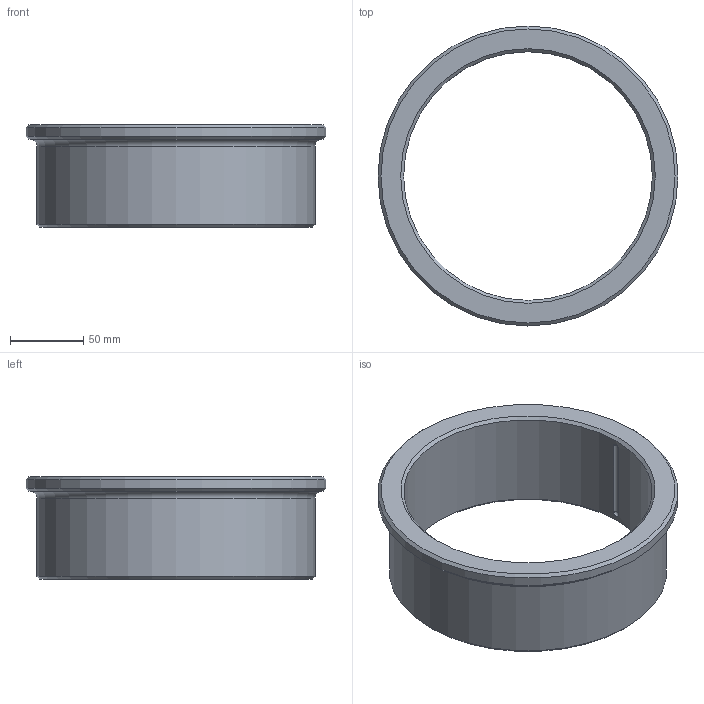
import cadquery as cq

total_height = 70.0
flange_diameter = 205.0
flange_thickness = 10.0
body_diameter = 190.0
bore_diameter = 170.0
edge_chamfer = 2.0
neck_fillet_radius = 4.5

groove_diameter = 4.5
groove_depth = 2.0
groove_length = 60.0

flange_radius = flange_diameter / 2
body_radius = body_diameter / 2
bore_radius = bore_diameter / 2
groove_radius = groove_diameter / 2
flange_underside = total_height - flange_thickness


def make_bushing():
    """Revolve the wall section, with every outer and bore edge chamfered."""
    fillet_start = (body_radius, flange_underside - neck_fillet_radius)
    fillet_end = (body_radius + neck_fillet_radius, flange_underside)
    section = (
        cq.Workplane("XZ")
        .moveTo(bore_radius + edge_chamfer, 0)
        .lineTo(body_radius - edge_chamfer, 0)
        .lineTo(body_radius, edge_chamfer)
        .lineTo(*fillet_start)
        .radiusArc(fillet_end, neck_fillet_radius)
        .lineTo(flange_radius - edge_chamfer, flange_underside)
        .lineTo(flange_radius, flange_underside + edge_chamfer)
        .lineTo(flange_radius, total_height - edge_chamfer)
        .lineTo(flange_radius - edge_chamfer, total_height)
        .lineTo(bore_radius + edge_chamfer, total_height)
        .lineTo(bore_radius, total_height - edge_chamfer)
        .lineTo(bore_radius, edge_chamfer)
        .close()
    )
    return section.revolve(360, (0, 0, 0), (0, 1, 0))


def make_groove_cutter():
    """Upright ball-ended rod set into the bore wall at mid-height."""
    straight_length = groove_length - groove_diameter
    half_outline = (
        cq.Workplane("XZ")
        .moveTo(0, -groove_length / 2)
        .radiusArc((groove_radius, -straight_length / 2), -groove_radius)
        .lineTo(groove_radius, straight_length / 2)
        .radiusArc((0, groove_length / 2), -groove_radius)
        .close()
    )
    rod = half_outline.revolve(360, (0, 0, 0), (0, 1, 0))
    rod_axis_x = bore_radius + groove_depth - groove_radius
    return rod.translate((rod_axis_x, 0, total_height / 2))


result = make_bushing().cut(make_groove_cutter())